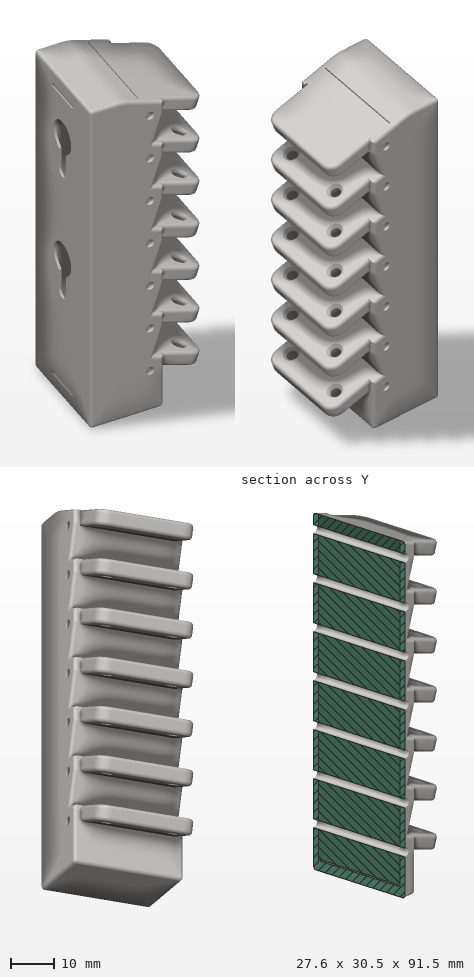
import cadquery as cq
import math

WIDTH = 27.6
HEIGHT = 91.5
HOUSING_DEPTH = 19.1
EDGE_RADIUS = 0.8
SLOPE = 18.4
TOP_BREAK_Y = 8.6
TOP_BLEND_RADIUS = 10.0

SHELF_COUNT = 7
SHELF_PITCH = 12.3
STEP_DEPTH = 2.65

OVERALL_DEPTH = 30.5
SHELF_WIDTH = 24.5
SHELF_THICKNESS = 3.75
SHELF_EDGE_RADIUS = 0.8
SHELF_CORNER_RADIUS = 3.0
NOSE_OVERLAP = 0.55

SEAT_DEPTH = 5.8
SEAT_GAP = 0.3
SEAT_BOTTOM_Z = 2.65
COMB_HEEL_RADIUS = 3.0

SCREW_HOLE_X = 8.2
SCREW_HOLE_REACH = 7.4
SCREW_HOLE_DIAMETER = 2.6
COUNTERSINK_DIAMETER = 4.0
COUNTERSINK_ANGLE = 90

CROSS_HOLE_RADIUS = 1.1
CROSS_HOLE_Y = 15.55
CROSS_HOLE_TOP_Z = 85.1

KEYHOLE_RADIUS = 4.3
KEYHOLE_SLOT_RADIUS = 1.7
KEYHOLE_DROP = 9.7
KEYHOLE_TOP_Z = 75.3
KEYHOLE_SPACING = 35.0
KEYHOLE_LIP = 0.6
KEYHOLE_DEPTH = 3.1
HEAD_POCKET_DROP = 9.1

BACK_SLOT_WIDTH = 10.25
BACK_SLOT_HEIGHT = 1.1
BACK_SLOT_LOW_Z = 4.3
BACK_SLOT_HIGH_Z = 87.3

slope_sin = math.sin(math.radians(SLOPE))
slope_cos = math.cos(math.radians(SLOPE))
slope_tan = math.tan(math.radians(SLOPE))
seat_y = HOUSING_DEPTH - SEAT_DEPTH
top_ledge_z = HEIGHT - (HOUSING_DEPTH - TOP_BREAK_Y) * slope_tan


def ledge_z(index):
    """Height at which a shelf's top surface crosses the housing front, counted from the top."""
    return top_ledge_z - index * SHELF_PITCH


def make_block():
    """The outer shape of the housing, with the room for the comb still filled."""
    outline = [(0, 0), (0, HEIGHT), (TOP_BREAK_Y, HEIGHT), (HOUSING_DEPTH, ledge_z(0))]
    for index in range(1, SHELF_COUNT):
        root_z = ledge_z(index) + STEP_DEPTH * slope_tan
        outline.append((HOUSING_DEPTH, root_z + STEP_DEPTH / slope_tan))
        outline.append((HOUSING_DEPTH - STEP_DEPTH, root_z))
        outline.append((HOUSING_DEPTH, ledge_z(index)))
    outline.append((HOUSING_DEPTH, 0))
    block = cq.Workplane("YZ").polyline(outline).close().extrude(WIDTH / 2, both=True)
    top_break = cq.selectors.NearestToPointSelector((0, TOP_BREAK_Y, HEIGHT))
    block = block.edges(top_break).fillet(TOP_BLEND_RADIUS)
    block = block.edges("|X and (<Z or (<Y and >Z))").fillet(EDGE_RADIUS)
    return block.faces("<X or >X").edges().fillet(EDGE_RADIUS)


def make_shelf(index):
    """A sloping plate: its nose outside the housing is rounded, its square root fills the seat."""
    upper_round_y = OVERALL_DEPTH - HOUSING_DEPTH - SHELF_EDGE_RADIUS
    reach = (upper_round_y + SHELF_EDGE_RADIUS * slope_sin) / slope_cos + SHELF_EDGE_RADIUS
    root_length = SEAT_DEPTH / slope_cos + SHELF_THICKNESS
    plate = cq.Workplane("XY", origin=(0, 0, -SHELF_THICKNESS))
    nose = (
        plate.workplane(origin=(0, -NOSE_OVERLAP, 0))
        .rect(SHELF_WIDTH, 2 * (reach + NOSE_OVERLAP))
        .extrude(SHELF_THICKNESS)
        .edges("|Z")
        .fillet(SHELF_CORNER_RADIUS)
        .faces("<Z or >Z")
        .edges()
        .fillet(SHELF_EDGE_RADIUS)
    )
    behind = (
        plate.workplane(origin=(0, -NOSE_OVERLAP - reach, 0))
        .rect(2 * SHELF_WIDTH, 2 * reach)
        .extrude(SHELF_THICKNESS)
    )
    root = (
        plate.workplane(origin=(0, -NOSE_OVERLAP - root_length / 2, 0))
        .rect(SHELF_WIDTH, root_length)
        .extrude(SHELF_THICKNESS)
    )
    shelf = nose.cut(behind).union(root)
    shelf = shelf.rotate((0, 0, 0), (1, 0, 0), -SLOPE)
    shelf = shelf.translate((0, HOUSING_DEPTH, ledge_z(index)))
    in_front_of_seat_back = (
        cq.Workplane("XY")
        .box(WIDTH, OVERALL_DEPTH, 2 * HEIGHT, centered=(True, False, True))
        .translate((0, seat_y, 0))
    )
    return shelf.intersect(in_front_of_seat_back)


def make_countersinks(index):
    """Cutters for the two countersunk holes square to the top of one shelf."""
    sink_radius = COUNTERSINK_DIAMETER / 2
    hole_radius = SCREW_HOLE_DIAMETER / 2
    sink_depth = (sink_radius - hole_radius) / math.tan(math.radians(COUNTERSINK_ANGLE / 2))
    profile = [
        (0, 0),
        (sink_radius, 0),
        (hole_radius, -sink_depth),
        (hole_radius, -SHELF_THICKNESS),
        (0, -SHELF_THICKNESS),
    ]
    cutter = cq.Workplane("XZ").polyline(profile).close().revolve(360, (0, 0, 0), (0, 1, 0))
    pair = cutter.translate((-SCREW_HOLE_X, SCREW_HOLE_REACH, 0))
    pair = pair.union(cutter.translate((SCREW_HOLE_X, SCREW_HOLE_REACH, 0)))
    pair = pair.rotate((0, 0, 0), (1, 0, 0), -SLOPE)
    return pair.translate((0, HOUSING_DEPTH, ledge_z(index)))


def make_seat():
    """The recess in the housing front, open towards +Y and at the sloping top."""
    return (
        cq.Workplane("XY")
        .box(SHELF_WIDTH, SEAT_DEPTH + SEAT_GAP, HEIGHT - SEAT_BOTTOM_Z, centered=(True, False, False))
        .translate((0, seat_y - SEAT_GAP, SEAT_BOTTOM_Z))
    )


def make_cross_holes():
    """One hole below each shelf, right through along X."""
    centres = [(CROSS_HOLE_Y, CROSS_HOLE_TOP_Z - index * SHELF_PITCH) for index in range(SHELF_COUNT)]
    return cq.Workplane("YZ").pushPoints(centres).circle(CROSS_HOLE_RADIUS).extrude(WIDTH, both=True)


def make_keyhole(centre_z):
    """A keyhole opening through a thin lip, with a wider pocket for the screw head behind it."""
    tangent = KEYHOLE_RADIUS / math.sqrt(2)
    neck = KEYHOLE_SLOT_RADIUS - 2 * tangent
    opening = (
        cq.Workplane("XZ")
        .moveTo(-tangent, -tangent)
        .threePointArc((0, KEYHOLE_RADIUS), (tangent, -tangent))
        .lineTo(KEYHOLE_SLOT_RADIUS, neck)
        .lineTo(KEYHOLE_SLOT_RADIUS, -KEYHOLE_DROP)
        .threePointArc((0, -KEYHOLE_DROP - KEYHOLE_SLOT_RADIUS), (-KEYHOLE_SLOT_RADIUS, -KEYHOLE_DROP))
        .lineTo(-KEYHOLE_SLOT_RADIUS, neck)
        .close()
        .extrude(-KEYHOLE_LIP)
    )
    pocket = (
        cq.Workplane("XZ", origin=(0, KEYHOLE_LIP, -HEAD_POCKET_DROP / 2))
        .slot2D(HEAD_POCKET_DROP + 2 * KEYHOLE_RADIUS, 2 * KEYHOLE_RADIUS, 90)
        .extrude(KEYHOLE_LIP - KEYHOLE_DEPTH)
    )
    return opening.union(pocket).translate((0, 0, centre_z))


def make_back_slot(centre_z):
    """A narrow slot from the back through to the seat."""
    return (
        cq.Workplane("XY")
        .box(BACK_SLOT_WIDTH, seat_y, BACK_SLOT_HEIGHT, centered=(True, False, True))
        .translate((0, 0, centre_z))
    )


def make_top_shelf():
    return make_shelf(0).cut(make_cross_holes())


def make_comb(block):
    """The stepped front piece that carries all the lower shelves and ends under the top shelf."""
    above_comb = (
        cq.Workplane("XY")
        .box(WIDTH, 2 * OVERALL_DEPTH, HEIGHT, centered=(True, True, False))
        .translate((0, 0, -SHELF_THICKNESS))
        .rotate((0, 0, 0), (1, 0, 0), -SLOPE)
        .translate((0, HOUSING_DEPTH, ledge_z(0)))
    )
    seat_fill = (
        cq.Workplane("XY")
        .box(SHELF_WIDTH, SEAT_DEPTH, HEIGHT - SEAT_BOTTOM_Z, centered=(True, False, False))
        .translate((0, seat_y, SEAT_BOTTOM_Z))
        .edges("|X and <Y and <Z")
        .fillet(COMB_HEEL_RADIUS)
    )
    comb = block.intersect(seat_fill).cut(above_comb)
    for index in range(1, SHELF_COUNT):
        comb = comb.union(make_shelf(index)).cut(make_countersinks(index))
    return comb.cut(make_cross_holes())


def make_housing(block):
    housing = block.cut(make_seat()).cut(make_cross_holes())
    for centre_z in (KEYHOLE_TOP_Z, KEYHOLE_TOP_Z - KEYHOLE_SPACING):
        housing = housing.cut(make_keyhole(centre_z))
    for centre_z in (BACK_SLOT_LOW_Z, BACK_SLOT_HIGH_Z):
        housing = housing.cut(make_back_slot(centre_z))
    return housing


block = make_block()
top_shelf = make_top_shelf()
comb = make_comb(block)
housing = make_housing(block)

result = cq.Compound.makeCompound([housing.val(), comb.val(), top_shelf.val()])